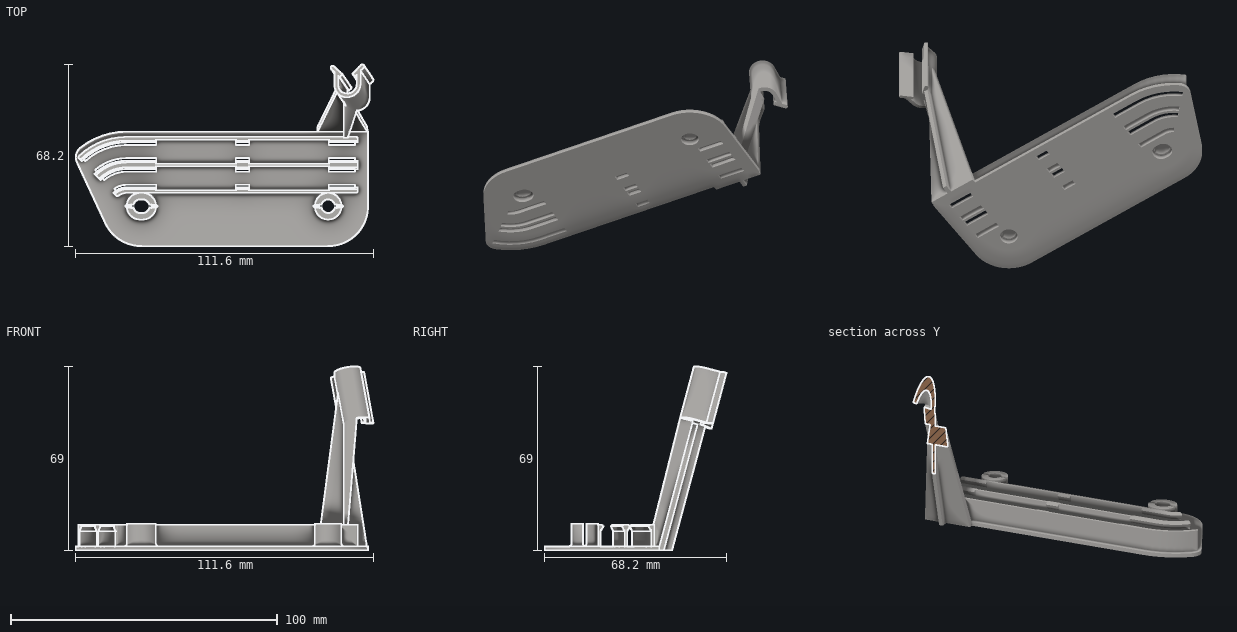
import math

import cadquery as cq

PLATE_THICKNESS = 1.5
CORNER_RADIUS = 15.0
BOSS_SPACING = 70.0
PLATE_RIGHT = BOSS_SPACING + CORNER_RADIUS
PLATE_BACK = 28.0
SLANT_ANGLE = math.radians(25)
TIP_RADIUS = 4.6

CURL_X = -5.5
CURL_Y = 0.0
CURL_SWEEP = math.radians(45)
RIB_FACES = (5.0, 15.0, 25.0)
RIB_THICKNESS = 1.0
RIB_RIGHT = 81.1
RIB_TOP = 9.6
RIB_END_FILLET = 0.7
RIB_EMBED = 0.5

LIP_REACH = 1.1
LIP_ROOT = 0.3
LIP_TOP_REACH = 0.4
LIP_BOTTOM = 7.2
LIP_SHOULDER = 9.0
SLOT_WIDTH = 2.0
LEFT_LIP_END = 5.5
MIDDLE_LIP = (35.4, 40.4)
RIGHT_LIP_START = 70.3
SLOT_END_GAP = 1.1

BOSS_RADIUS = 5.0
BOSS_TOP = 10.0
BOSS_FILLET = 1.0
BOSS_BORE_RADIUS = 2.5
WIDE_BORE_RADIUS = 3.3
WIDE_BORE_TOP = 2.0
BOSS_SLIT = 1.2
LEFT_BOSS_STRETCH = 1.0

ARM_LEAN = 15.0
WEB_THICKNESS = 2.0
WEB_START = -2 * PLATE_THICKNESS
WEB_LEFT = 65.7
WEB_CLIP_CONTACT = 14.5

CLIP_TILT = 10.0
CLIP_LENGTH = 20.0
CLIP_RADIUS = 5.0
CLIP_WALL = 1.5
CLIP_TOP_X = 77.22
CLIP_TOP_RISE = 68.27
LIP_TIP_X = 5.65
LIP_TIP_DEPTH = 6.75
CLIP_LIP_LENGTH = 4.6
CLIP_LIP_ANGLE = 45.0

FIN_WIDTH = 1.5
FIN_FOOT_Z = 7.0
FIN_FOOT_DEPTH = 4.3

lean = math.radians(ARM_LEAN)
web_plane = cq.Plane(
    origin=(0, PLATE_BACK, PLATE_THICKNESS),
    xDir=(1, 0, 0),
    normal=(0, -math.cos(lean), math.sin(lean)),
)
tilt = math.radians(CLIP_TILT)


def clip_point(across, along):
    """Web-frame X and Y of a point measured from the clip's lower end."""
    from_top = CLIP_LENGTH - along
    x = CLIP_TOP_X + across * math.cos(tilt) + from_top * math.sin(tilt)
    y = CLIP_TOP_RISE + across * math.sin(tilt) - from_top * math.cos(tilt)
    return x, y


def curl_point(radius, angle):
    """Point on the curl, with the angle measured from +Y toward -X."""
    return CURL_X - radius * math.sin(angle), CURL_Y + radius * math.cos(angle)


def make_plate():
    back_radius = PLATE_BACK - CURL_Y
    inward = cq.Vector(math.cos(SLANT_ANGLE), math.sin(SLANT_ANGLE))
    along = cq.Vector(-math.sin(SLANT_ANGLE), math.cos(SLANT_ANGLE))
    slant_start = inward * -CORNER_RADIUS
    curl_centre = cq.Vector(CURL_X, CURL_Y)
    offset = inward * (TIP_RADIUS - CORNER_RADIUS) - curl_centre
    reach = offset.dot(along)
    gap = back_radius - TIP_RADIUS
    travel = -reach + math.sqrt(reach**2 - offset.dot(offset) + gap**2)
    slant_end = slant_start + along * travel
    tip_centre = slant_end + inward * TIP_RADIUS
    outward = (tip_centre - curl_centre).normalized()
    tip_end = tip_centre + outward * TIP_RADIUS
    tip_middle = tip_centre + (outward - inward).normalized() * TIP_RADIUS
    back_start = curl_centre + cq.Vector(0, back_radius)
    back_middle = curl_centre + (outward + cq.Vector(0, 1)).normalized() * back_radius

    left_middle = (slant_start + cq.Vector(0, -CORNER_RADIUS)).normalized() * CORNER_RADIUS
    diagonal = CORNER_RADIUS * math.sqrt(0.5)
    return (
        cq.Workplane("XY")
        .moveTo(0, -CORNER_RADIUS)
        .lineTo(BOSS_SPACING, -CORNER_RADIUS)
        .threePointArc((BOSS_SPACING + diagonal, -diagonal), (PLATE_RIGHT, 0))
        .lineTo(PLATE_RIGHT, PLATE_BACK)
        .lineTo(back_start.x, back_start.y)
        .threePointArc(back_middle.toTuple()[:2], tip_end.toTuple()[:2])
        .threePointArc(tip_middle.toTuple()[:2], slant_end.toTuple()[:2])
        .lineTo(slant_start.x, slant_start.y)
        .threePointArc(left_middle.toTuple()[:2], (0, -CORNER_RADIUS))
        .close()
        .extrude(PLATE_THICKNESS)
    )


def obround(x, radius, stretch, bottom, top):
    """Vertical cylinder at (x, 0), lengthened along X by the given stretch."""
    profile = cq.Workplane("XY", origin=(x, 0, bottom))
    if stretch:
        profile = profile.slot2D(2 * radius + stretch, 2 * radius)
    else:
        profile = profile.circle(radius)
    return profile.extrude(top - bottom)


def add_boss(body, x, stretch):
    outer = obround(x, BOSS_RADIUS, stretch, 0, BOSS_TOP)
    half_length = BOSS_RADIUS + stretch / 2 + BOSS_FILLET / 2
    half_width = BOSS_RADIUS + BOSS_FILLET / 2
    foot = cq.selectors.BoxSelector(
        (x - half_length, -half_width, PLATE_THICKNESS - BOSS_FILLET / 2),
        (x + half_length, half_width, PLATE_THICKNESS + BOSS_FILLET / 2),
    )
    body = body.union(outer).edges(foot).fillet(BOSS_FILLET)
    body = body.cut(obround(x, BOSS_BORE_RADIUS, stretch, 0, BOSS_TOP))
    body = body.cut(obround(x, WIDE_BORE_RADIUS, stretch, 0, WIDE_BORE_TOP))
    return body.cut(make_slit(x, BOSS_RADIUS + BOSS_FILLET + stretch / 2))


def make_slit(x, half_length):
    """Slit along X through a boss; the foot fillets run along both walls and meet in its floor."""
    half_width = BOSS_SLIT / 2
    fillet_top = PLATE_THICKNESS + BOSS_FILLET
    fillet_centre = BOSS_FILLET - half_width
    valley = fillet_top - math.sqrt(BOSS_FILLET**2 - fillet_centre**2)
    return (
        cq.Workplane("YZ", origin=(x - half_length, 0, 0))
        .moveTo(-half_width, BOSS_TOP)
        .lineTo(-half_width, fillet_top)
        .radiusArc((0, valley), -BOSS_FILLET)
        .radiusArc((half_width, fillet_top), -BOSS_FILLET)
        .lineTo(half_width, BOSS_TOP)
        .close()
        .extrude(2 * half_length)
    )


def extrude_along_x(section, x_from, x_to):
    return cq.Workplane("YZ", origin=(x_from, 0, 0)).polyline(section).close().extrude(x_to - x_from)


def sweep_along_rib(section, right_end, end_gap=0):
    """Sweep a closed (Y, Z) section along the curl, less the gap at its end, and straight to right_end."""
    radius = section[0][0] - CURL_Y
    sweep = CURL_SWEEP - end_gap / radius
    curl = (
        cq.Workplane("YZ", origin=(CURL_X, 0, 0))
        .polyline(section)
        .close()
        .revolve(math.degrees(sweep), (CURL_Y, 0, 0), (CURL_Y, 1, 0))
    )
    return curl.union(extrude_along_x(section, CURL_X, right_end))


def rectangle(y_from, y_to, z_from, z_to):
    return [(y_from, z_from), (y_to, z_from), (y_to, z_to), (y_from, z_to)]


def make_rib(face):
    back = face + RIB_THICKNESS
    bottom = PLATE_THICKNESS - RIB_EMBED
    rib = sweep_along_rib(rectangle(face, back, bottom, RIB_TOP), RIB_RIGHT)
    for outer_rib, side in ((RIB_FACES[0], face), (RIB_FACES[-1], back)):
        if face == outer_rib:
            for end in (curl_point(side - CURL_Y, CURL_SWEEP), (RIB_RIGHT, side)):
                corner = cq.selectors.NearestToPointSelector((*end, (bottom + RIB_TOP) / 2))
                rib = rib.edges("|Z").edges(corner).fillet(RIB_END_FILLET)
    return rib


def make_lips(face, side):
    """Lips on a rib face; side is +1 when they point toward +Y, -1 toward -Y."""
    root = face - side * LIP_ROOT
    section = [
        (root, LIP_BOTTOM),
        (face, LIP_BOTTOM),
        (face + side * LIP_REACH, LIP_SHOULDER),
        (face + side * LIP_TOP_REACH, RIB_TOP),
        (root, RIB_TOP),
    ]
    lips = sweep_along_rib(section, LEFT_LIP_END)
    lips = lips.union(extrude_along_x(section, *MIDDLE_LIP))
    return lips.union(extrude_along_x(section, RIGHT_LIP_START, RIB_RIGHT))


def make_slots(face, side):
    section = rectangle(face, face + side * SLOT_WIDTH, 0, PLATE_THICKNESS)
    slots = sweep_along_rib(section, LEFT_LIP_END, SLOT_END_GAP)
    slots = slots.union(extrude_along_x(section, *MIDDLE_LIP))
    return slots.union(extrude_along_x(section, RIGHT_LIP_START, RIB_RIGHT - SLOT_END_GAP))


def make_clip():
    corner = clip_point(0, 0)
    origin = web_plane.toWorldCoords((corner[0], corner[1], 0))
    across = web_plane.toWorldCoords((*clip_point(1, 0), 0)) - origin
    axis = web_plane.toWorldCoords((*clip_point(0, 1), 0)) - origin
    section_plane = cq.Plane(origin=origin, xDir=across, normal=axis)

    inner_radius = CLIP_RADIUS - CLIP_WALL
    wall_middle = CLIP_RADIUS - CLIP_WALL / 2
    wall_end = LIP_TIP_DEPTH - LIP_TIP_X + wall_middle
    clip = (
        cq.Workplane(section_plane)
        .moveTo(-CLIP_RADIUS, wall_end)
        .lineTo(-CLIP_RADIUS, 0)
        .threePointArc((0, -CLIP_RADIUS), (CLIP_RADIUS, 0))
        .lineTo(CLIP_RADIUS, wall_end)
        .lineTo(inner_radius, wall_end - CLIP_WALL)
        .lineTo(inner_radius, 0)
        .threePointArc((0, -inner_radius), (-inner_radius, 0))
        .lineTo(-inner_radius, wall_end - CLIP_WALL)
        .close()
        .extrude(CLIP_LENGTH)
    )
    half_wall = CLIP_WALL / 2
    lip_middle = CLIP_LIP_LENGTH / 2 * math.sin(math.radians(CLIP_LIP_ANGLE))
    for side in (-1, 1):
        tip = (
            cq.Workplane(section_plane)
            .center(side * LIP_TIP_X, LIP_TIP_DEPTH)
            .circle(half_wall)
            .extrude(CLIP_LENGTH)
        )
        lip = (
            cq.Workplane(section_plane)
            .center(side * (LIP_TIP_X - lip_middle), LIP_TIP_DEPTH - lip_middle)
            .transformed(rotate=(0, 0, side * CLIP_LIP_ANGLE))
            .rect(CLIP_LIP_LENGTH, CLIP_WALL)
            .extrude(CLIP_LENGTH)
        )
        clip = clip.union(tip).union(lip)
    return clip


def above_ground(body):
    """Trim away whatever lies below the underside of the plate."""
    size = 4 * BOSS_SPACING
    ground = cq.Workplane("XY").rect(size, size).extrude(-size)
    return body.cut(ground)


def make_web():
    wall_middle = CLIP_WALL / 2 - CLIP_RADIUS
    fin_right = clip_point(-CLIP_RADIUS, 0)[0] + FIN_WIDTH
    web = (
        cq.Workplane(web_plane)
        .moveTo(WEB_LEFT, WEB_START)
        .lineTo(PLATE_RIGHT, WEB_START)
        .lineTo(fin_right, clip_point(wall_middle, 0)[1])
        .lineTo(*clip_point(wall_middle, 0))
        .lineTo(*clip_point(wall_middle, WEB_CLIP_CONTACT))
        .close()
        .extrude(-WEB_THICKNESS)
    )
    return above_ground(web)


def make_back_fin():
    left, top = clip_point(-CLIP_RADIUS, 0)
    fin = (
        cq.Workplane(web_plane)
        .moveTo(left, WEB_START)
        .lineTo(left + FIN_WIDTH, WEB_START)
        .lineTo(*clip_point(CLIP_WALL - CLIP_RADIUS, 0))
        .lineTo(left, top)
        .close()
        .extrude(-CLIP_RADIUS)
    )
    return above_ground(fin)


def polygon_face(points):
    return cq.Face.makeFromWires(cq.Wire.makePolygon(points, close=True))


def make_front_fin():
    """Blend from a narrow foot on the back rib to a quarter of the clip's end."""
    left = clip_point(-CLIP_RADIUS, 0)[0]
    foot_rise = (FIN_FOOT_Z - PLATE_THICKNESS) / math.cos(lean)

    def web_point(x, y, depth):
        return web_plane.toWorldCoords((x, y, depth))

    def end_point(across, depth):
        return web_point(*clip_point(across, 0), depth)

    foot_back_left = web_point(left, foot_rise, 0)
    foot_back_right = web_point(left + FIN_WIDTH, foot_rise, 0)
    foot_front_left = web_point(left, foot_rise, FIN_FOOT_DEPTH)
    foot_front_right = web_point(left + FIN_WIDTH, foot_rise, FIN_FOOT_DEPTH)
    end_left = end_point(-CLIP_RADIUS, 0)
    end_centre = end_point(0, 0)
    end_front = end_point(0, CLIP_RADIUS)
    diagonal = CLIP_RADIUS * math.sqrt(0.5)
    quarter = cq.Wire.assembleEdges(
        [
            cq.Edge.makeLine(end_centre, end_left),
            cq.Edge.makeThreePointArc(end_left, end_point(-diagonal, diagonal), end_front),
            cq.Edge.makeLine(end_front, end_centre),
        ]
    )
    faces_opposite_foot = [
        cq.Face.makeFromWires(quarter),
        polygon_face([foot_back_left, foot_back_right, end_centre, end_left]),
        polygon_face([foot_front_right, foot_back_right, end_centre, end_front]),
    ]
    apex = cq.Vertex.makeVertex(*foot_front_left.toTuple())
    fin = cq.Workplane("XY")
    for face in faces_opposite_foot:
        fin = fin.union(cq.Workplane(cq.occ_impl.shapes.loft(face, apex)))
    foot = polygon_face([foot_back_left, foot_back_right, foot_front_right, foot_front_left])
    stem = cq.Solid.extrudeLinear(foot, cq.Vector(0, 0, -FIN_FOOT_Z))
    return fin.union(cq.Workplane(stem))


body = make_plate()
body = add_boss(body, 0, LEFT_BOSS_STRETCH)
body = add_boss(body, BOSS_SPACING, 0)

front_rib, middle_rib, back_rib = RIB_FACES
lip_places = (
    (front_rib + RIB_THICKNESS, 1),
    (middle_rib, -1),
    (middle_rib + RIB_THICKNESS, 1),
    (back_rib, -1),
)
for lip_face, lip_side in lip_places:
    body = body.cut(make_slots(lip_face, lip_side))
for rib_face in RIB_FACES:
    body = body.union(make_rib(rib_face))
for lip_face, lip_side in lip_places:
    body = body.union(make_lips(lip_face, lip_side))

for arm_piece in (make_web(), make_back_fin(), make_clip(), make_front_fin()):
    body = body.union(arm_piece)

result = body